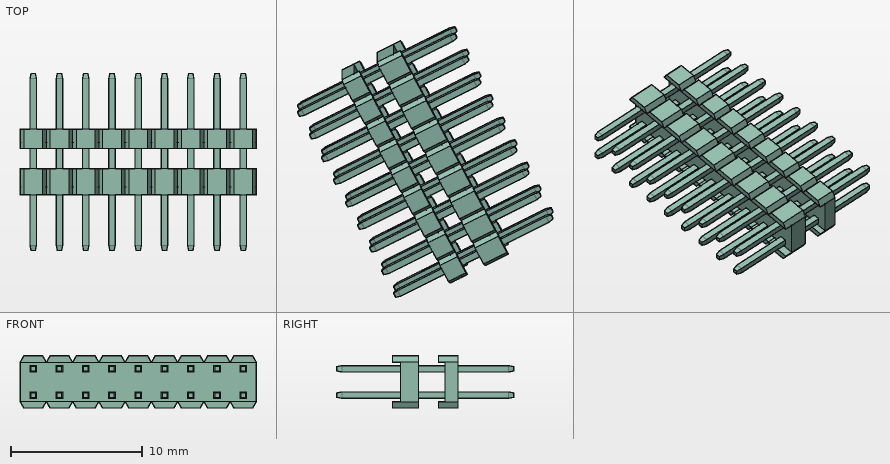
import cadquery as cq

length = 18
pin_length = 13.5
height = 4.0
positions = 9
pitch = length / positions

flange_thickness = 0.5
notch_depth = 0.49
notch_half_width = 0.29
pin_exposed = 4.25
rear_flange_depth = 1.5
rear_web_depth = 1.0
front_flange_depth = 2.0
front_web_depth = 1.39

pin_size = 0.5
tip_length = 0.4
tip_size = 0.35

rear_bar_back = pin_length / 2 - pin_exposed
front_bar_back = front_flange_depth + pin_exposed - pin_length / 2


def make_bar(back, flange_depth, web_depth):
    """C-section bar along X whose top and bottom are notched between positions."""
    web_height = height - 2 * flange_thickness
    bar = cq.Workplane("XY").box(length, flange_depth, height).translate((0, back - flange_depth / 2, 0))
    recess_depth = flange_depth - web_depth
    recess_y = back - web_depth - recess_depth / 2
    bar = bar.cut(cq.Workplane("XY").box(length, recess_depth, web_height).translate((0, recess_y, 0)))

    for side in (1, -1):
        outer_z = side * height / 2
        root_z = outer_z - side * notch_depth
        for index in range(positions + 1):
            x = -length / 2 + index * pitch
            notch = (
                cq.Workplane("XZ", origin=(0, back, 0))
                .polyline([(x - notch_half_width, outer_z), (x, root_z), (x + notch_half_width, outer_z)])
                .close()
                .extrude(flange_depth)
            )
            bar = bar.cut(notch)
    return bar


def make_pin(x, z):
    """Square pin along Y, tapered at both ends."""
    shank_length = pin_length - 2 * tip_length
    pin = cq.Workplane("XY").box(pin_size, shank_length, pin_size)
    front_tip = (
        cq.Workplane("XZ", origin=(0, -shank_length / 2, 0))
        .rect(pin_size, pin_size)
        .workplane(offset=tip_length)
        .rect(tip_size, tip_size)
        .loft(ruled=True)
    )
    rear_tip = front_tip.mirror("XZ")
    return pin.union(front_tip).union(rear_tip).translate((x, 0, z))


result = make_bar(rear_bar_back, rear_flange_depth, rear_web_depth)
result = result.union(make_bar(front_bar_back, front_flange_depth, front_web_depth))

for position in range(positions):
    pin_x = (position + 0.5) * pitch - length / 2
    for pin_z in (-pitch / 2, pitch / 2):
        result = result.union(make_pin(pin_x, pin_z))